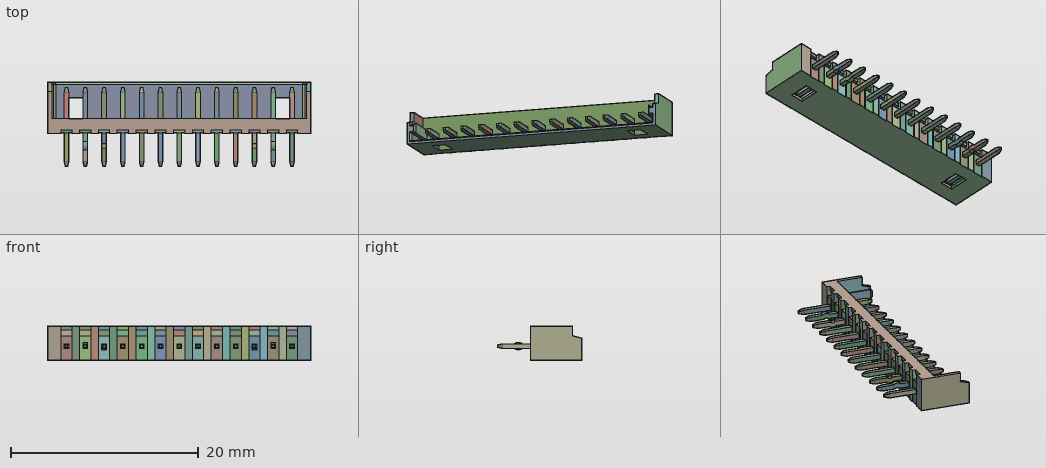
import cadquery as cq
import math

length = 28

pin_count = 13
pin_pitch = length / (pin_count + 1)
pin_size = 0.5
pin_height = 1.5
pin_tip_length = 0.5
pin_tip_size = 0.25
pin_front_length = 3.5
pin_rear_gap = 0.6

depth = 5.5
height = 3.65
front_wall = 1.6
end_wall = 0.45
floor = 0.4
half_length = length / 2
cavity_half = half_length - end_wall

lead_in_depth = 0.25
lead_in_offset = 0.155

step_length = 1.0
step_front_z = 2.63
step_rear_z = 2.35

rail_width = 0.45
rail_ledge = 0.155
rail_bottom_z = 1.2
rail_ledge_z = 2.1
rail_peak_z = 2.3

window_width = pin_pitch - pin_size
window_length = 2.2

slot_width = 1.2
slot_depth = 0.35
slot_foot_depth = 0.08
shelf_z = 2.6
lintel_z = 3.22
undercut_depth = 0.67

kink_distance = 1.3
kink_outer_chord = 0.9
kink_outer_rise = 0.15
kink_inner_chord = 0.5
kink_inner_rise = 0.1
kink_directions = {1: 1, 2: -1, pin_count - 3: -1, pin_count - 2: 1}

pin_xs = [(i - (pin_count - 1) / 2) * pin_pitch for i in range(pin_count)]


def box(x0, x1, y0, y1, z0, z1):
    """Axis-aligned box given by its limits."""
    return cq.Workplane("XY").box(x1 - x0, y1 - y0, z1 - z0, centered=False).translate((x0, y0, z0))


def cavity_half_profile():
    """Points of the cavity section for X > 0, from the floor up: the rail stands into the cavity."""
    rail_x = cavity_half - rail_width
    ledge_x = cavity_half - rail_ledge
    return [
        (cavity_half, floor),
        (cavity_half, rail_bottom_z),
        (rail_x, rail_bottom_z),
        (rail_x, rail_peak_z),
        (ledge_x, rail_ledge_z),
        (cavity_half, rail_ledge_z),
        (cavity_half, height + lead_in_offset),
    ]


def make_cavity():
    """Cavity running to the rear face, its section widening at the mouth as a lead-in."""
    right_side = cavity_half_profile()
    left_side = [(-x, z) for x, z in reversed(right_side)]
    outline = right_side + left_side
    lead_in_angle = math.degrees(math.atan2(lead_in_offset, lead_in_depth))
    straight = (
        cq.Workplane("XZ", origin=(0, front_wall, 0))
        .polyline(outline)
        .close()
        .extrude(front_wall - depth)
    )
    lead_in = (
        cq.Workplane("XZ", origin=(0, depth - lead_in_depth, 0))
        .polyline(outline)
        .close()
        .extrude(-lead_in_depth, taper=-lead_in_angle)
    )
    return straight.union(lead_in)


def make_end_step():
    """Stepped-down rear top corner of the end walls, with a sloped foot."""
    step_y = depth - step_length
    return (
        cq.Workplane("YZ")
        .polyline([(depth, step_rear_z), (step_y, step_front_z), (step_y, height), (depth, height)])
        .close()
        .extrude(half_length, both=True)
    )


def make_slot(x):
    """Front slot centred on a pin: shallow foot, deep head and an undercut under the lintel."""
    x0 = x - slot_width / 2
    x1 = x + slot_width / 2
    foot = box(x0, x1, 0, slot_foot_depth, 0, height)
    head = box(x0, x1, 0, slot_depth, shelf_z, height)
    undercut = box(x0, x1, 0, undercut_depth, shelf_z, lintel_z)
    return foot.union(head).union(undercut)


def make_window(side):
    """Opening through the floor behind the front wall; side is -1 or 1."""
    x = side * (pin_xs[-1] - pin_pitch / 2)
    x0 = x - window_width / 2
    return box(x0, x0 + window_width, front_wall, front_wall + window_length, 0, floor)


def make_pin(x):
    """Straight square pin with both ends tapered."""
    front_y = pin_tip_length - pin_front_length
    rear_y = depth - pin_rear_gap - pin_tip_length
    shaft = (
        cq.Workplane("XZ", origin=(x, front_y, pin_height))
        .rect(pin_size, pin_size)
        .extrude(front_y - rear_y)
    )
    for face in ("<Y", ">Y"):
        shaft = (
            shaft.faces(face)
            .workplane(centerOption="CenterOfMass")
            .rect(pin_size, pin_size)
            .workplane(offset=pin_tip_length)
            .rect(pin_tip_size, pin_tip_size)
            .loft()
        )
    return shaft


def make_arc_segment(x, chord, rise, z, direction):
    """Circular segment across a pin, bulging up (1) or down (-1) from height z."""
    half_chord = chord / 2
    return (
        cq.Workplane("YZ", origin=(x, -kink_distance, z))
        .moveTo(-half_chord, 0)
        .threePointArc((0, direction * rise), (half_chord, 0))
        .close()
        .extrude(pin_size / 2, both=True)
    )


def kink_pin(pin, x, direction):
    """Bend a pin locally up or down: bulge on the outer side, hollow on the inner side."""
    half = pin_size / 2
    outer_z = pin_height + direction * half
    inner_z = pin_height - direction * half
    bulge = make_arc_segment(x, kink_outer_chord, kink_outer_rise, outer_z, direction)
    hollow = make_arc_segment(x, kink_inner_chord, kink_inner_rise, inner_z, direction)
    return pin.union(bulge).cut(hollow)


result = box(-half_length, half_length, 0, depth, 0, height)
result = result.cut(make_cavity()).cut(make_end_step())
for side in (-1, 1):
    result = result.cut(make_window(side))
for x in pin_xs:
    result = result.cut(make_slot(x))
for i, x in enumerate(pin_xs):
    pin = make_pin(x)
    if i in kink_directions:
        pin = kink_pin(pin, x, kink_directions[i])
    result = result.union(pin)